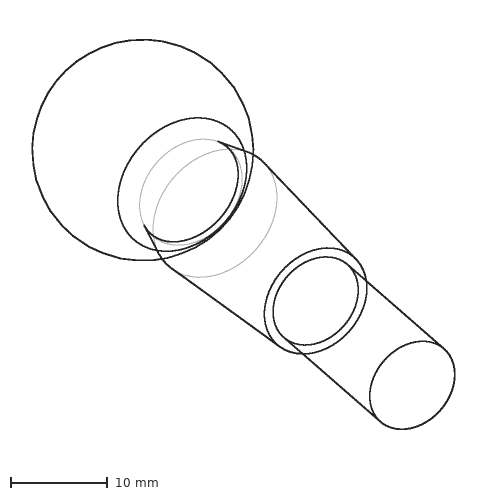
import cadquery as cq
import math

length = 70.0
ball_diameter = 22.9
shaft_diameter = 10.0
shaft_length = 21.0

neck_end_x = 21.85
neck_diameter = 12.05
collar_x = 27.1
collar_diameter = 14.55
shoulder_diameter = 12.05
blend_start_x = 20.0

ball_radius = ball_diameter / 2
neck_radius = neck_diameter / 2
collar_radius = collar_diameter / 2
shoulder_radius = shoulder_diameter / 2
shaft_radius = shaft_diameter / 2
shoulder_x = length - shaft_length

blend_start_radius = math.sqrt(ball_radius**2 - (blend_start_x - ball_radius) ** 2)

flare_length = math.hypot(collar_x - neck_end_x, collar_radius - neck_radius)
flare_dx = (collar_x - neck_end_x) / flare_length
flare_dr = (collar_radius - neck_radius) / flare_length

chord_x = blend_start_x - neck_end_x
chord_r = blend_start_radius - neck_radius
blend_radius = (chord_x**2 + chord_r**2) / (2 * (chord_r * flare_dx - chord_x * flare_dr))
blend_center_x = neck_end_x - blend_radius * flare_dr
blend_center_r = neck_radius + blend_radius * flare_dx

start_angle = math.atan2(blend_start_radius - blend_center_r, blend_start_x - blend_center_x)
end_angle = math.atan2(neck_radius - blend_center_r, neck_end_x - blend_center_x)
middle_angle = (start_angle % math.tau + end_angle % math.tau) / 2
blend_middle = (
    blend_center_x + blend_radius * math.cos(middle_angle),
    blend_center_r + blend_radius * math.sin(middle_angle),
)

half_profile = (
    cq.Workplane("XY")
    .moveTo(0, 0)
    .threePointArc((ball_radius, ball_radius), (blend_start_x, blend_start_radius))
    .threePointArc(blend_middle, (neck_end_x, neck_radius))
    .lineTo(collar_x, collar_radius)
    .lineTo(shoulder_x, shoulder_radius)
    .lineTo(shoulder_x, shaft_radius)
    .lineTo(length, shaft_radius)
    .lineTo(length, 0)
    .close()
)

result = half_profile.revolve(360, (0, 0, 0), (1, 0, 0))